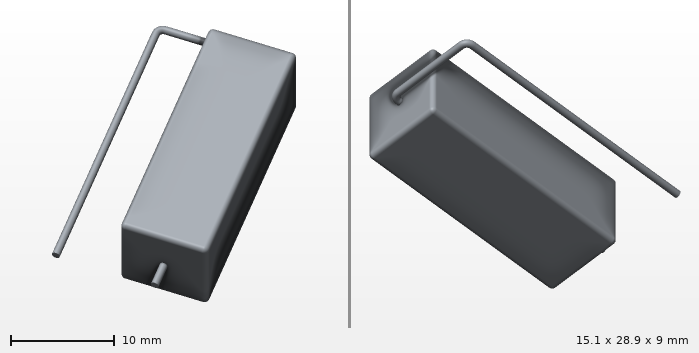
import cadquery as cq

body_side = 9.0
body_length = 25.0
edge_radius = 0.5

wire_diameter = 0.8
lead_pitch = 10.16
lead_stub = 2.5
loop_height = 1.4
bend_radius = 0.75

wire_radius = wire_diameter / 2
body_bottom = -body_length / 2
body_top = body_length / 2
lead_tip = body_bottom - lead_stub
loop_y = body_top + loop_height - wire_radius
bend_start_y = loop_y - bend_radius
wire_overlap = 1.0


def make_body():
    block = cq.Workplane("XY").box(body_side, body_length, body_side)
    return block.edges().fillet(edge_radius)


def make_straight_lead():
    """Short lead leaving the -Y end of the body."""
    start = cq.Workplane("XZ", origin=(0, lead_tip, 0))
    return start.circle(wire_radius).extrude(-(lead_stub + wire_overlap))


def make_folded_lead():
    """Lead leaving the +Y end, folded over to run back beside the body."""
    path = (
        cq.Workplane("XY")
        .moveTo(-lead_pitch, lead_tip)
        .lineTo(-lead_pitch, bend_start_y)
        .radiusArc((-lead_pitch + bend_radius, loop_y), bend_radius)
        .lineTo(-bend_radius, loop_y)
        .radiusArc((0, bend_start_y), bend_radius)
        .lineTo(0, body_top - wire_overlap)
    )
    profile = cq.Workplane("XZ", origin=(-lead_pitch, lead_tip, 0)).circle(wire_radius)
    return profile.sweep(path)


result = make_body().union(make_straight_lead()).union(make_folded_lead())